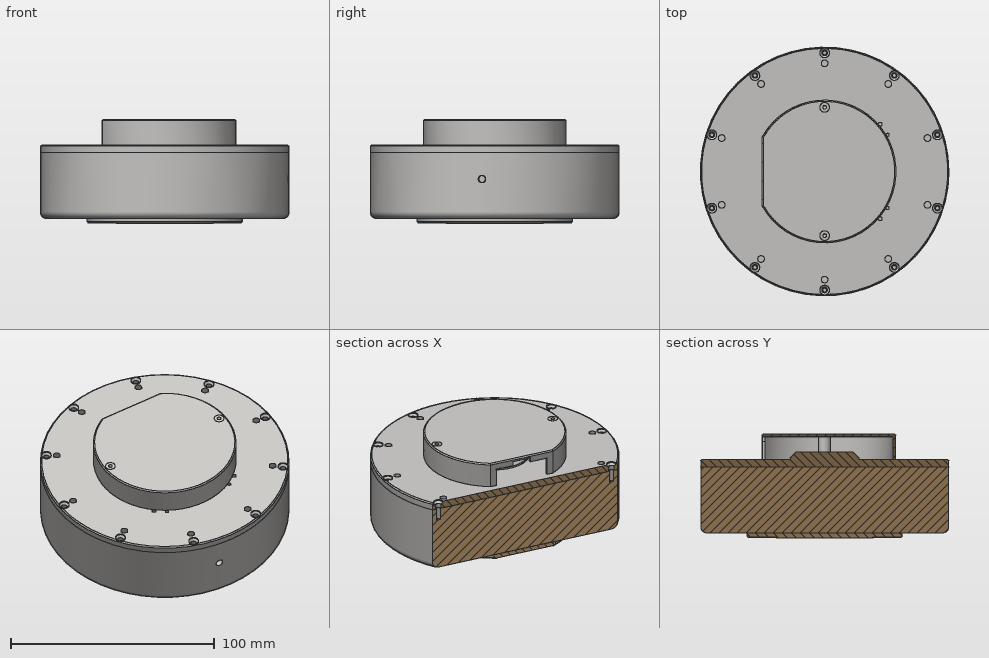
import cadquery as cq

TOTAL_HEIGHT = 51.1
HUB_FACE_HEIGHT = 0.4
HOUSING_BOTTOM = 2.5
PLATE_BOTTOM = 34.9
PLATE_TOP = 38.5
PLATE_THICKNESS = PLATE_TOP - PLATE_BOTTOM
CAP_HEIGHT = TOTAL_HEIGHT - PLATE_TOP

BODY_RADIUS = 61.0
HOUSING_FILLET = 3.0
SIDE_HOLE_DIAMETER = 3.5
SIDE_HOLE_HEIGHT = 21.8
SIDE_HOLE_DEPTH = 3.7
SIDE_HOLE_ANGLE = -6.0

PLATE_CHAMFER = 0.6
HOLES_PER_CIRCLE = 10
FIRST_HOLE_ANGLE = 90.0
SCREW_CIRCLE_RADIUS = 58.2
SCREW_SEAT_DIAMETER = 4.8
SCREW_SEAT_RECESS = 0.5
CLEARANCE_DIAMETER = 2.7
TAPPED_DIAMETER = 2.0
TAPPED_DEPTH = 6.1
PLAIN_CIRCLE_RADIUS = 53.1
PLAIN_HOLE_DIAMETER = 3.3

SMALL_CIRCLE_RADIUS = 35.7
SMALL_HOLES = [(30.2, 1.6), (40.4, 2.0)]

BOSS_RADIUS = 17.0
BOSS_HEIGHT = 3.8
BOSS_CHAMFER = 2.9

CAP_RADIUS = 35.0
CAP_FLAT_X = -30.6
CAP_WALL = 1.5
CAP_CHAMFER = 0.6
WINDOW_WIDTH = 27.6
WINDOW_HEIGHT = 8.9
NOTCH_WIDTH = 9.3

SCREW_SIDES = (1, -1)
CAP_SCREW_RADIUS = 31.5
CAP_SCREW_HEAD_DIAMETER = 4.8
CAP_SCREW_SHANK_DIAMETER = 2.7
CAP_SCREW_SOCKET_DIAMETER = 1.8
CAP_COLUMN_DIAMETER = 6.0
CAP_SCREW_ENGAGEMENT = 2.5

ROTOR_RADIUS = 38.2
ROTOR_CHAMFER = 0.6
HUB_RADIUS = 23.7


def cylinder(radius, bottom, top):
    return cq.Workplane("XY").workplane(offset=bottom).circle(radius).extrude(top - bottom)


def cone(bottom_radius, top_radius, bottom, top):
    height = top - bottom
    solid = cq.Solid.makeCone(bottom_radius, top_radius, height, pnt=cq.Vector(0, 0, bottom))
    return cq.Workplane(obj=solid)


def bolt_circle(workplane, radius):
    return workplane.polarArray(radius, FIRST_HOLE_ANGLE, 360, HOLES_PER_CIRCLE)


def make_housing():
    housing = cylinder(BODY_RADIUS, HOUSING_BOTTOM, PLATE_BOTTOM)
    housing = housing.faces("<Z").edges().fillet(HOUSING_FILLET)
    top_plane = cq.Workplane("XY", origin=(0, 0, PLATE_BOTTOM))
    tapped_holes = bolt_circle(top_plane, SCREW_CIRCLE_RADIUS).circle(TAPPED_DIAMETER / 2)
    housing = housing.cut(tapped_holes.extrude(-TAPPED_DEPTH))
    return housing.cut(side_hole())


def side_hole():
    """Blind radial hole in the outer wall, turned from the +X direction about the main axis."""
    hole = (
        cq.Workplane("YZ", origin=(BODY_RADIUS - SIDE_HOLE_DEPTH, 0, SIDE_HOLE_HEIGHT))
        .circle(SIDE_HOLE_DIAMETER / 2)
        .extrude(SIDE_HOLE_DEPTH)
    )
    return hole.rotate((0, 0, 0), (0, 0, 1), SIDE_HOLE_ANGLE)


def screw_seats():
    """Recessed countersunk clearance holes of the plate, as solids to cut away."""
    seat_radius = SCREW_SEAT_DIAMETER / 2
    clearance_radius = CLEARANCE_DIAMETER / 2
    recess_floor = PLATE_TOP - SCREW_SEAT_RECESS
    cone_bottom = recess_floor - (seat_radius - clearance_radius)
    seat = cylinder(clearance_radius, PLATE_BOTTOM, PLATE_TOP)
    seat = seat.union(cone(clearance_radius, seat_radius, cone_bottom, recess_floor))
    seat = seat.union(cylinder(seat_radius, recess_floor, PLATE_TOP)).translate((SCREW_CIRCLE_RADIUS, 0, 0))
    pitch_angle = 360 / HOLES_PER_CIRCLE
    return [
        seat.rotate((0, 0, 0), (0, 0, 1), FIRST_HOLE_ANGLE + index * pitch_angle)
        for index in range(HOLES_PER_CIRCLE)
    ]


def make_plate():
    plate = cylinder(BODY_RADIUS, PLATE_BOTTOM, PLATE_TOP).faces(">Z").edges().chamfer(PLATE_CHAMFER)
    top_plane = cq.Workplane("XY", origin=(0, 0, PLATE_TOP))
    plain_holes = bolt_circle(top_plane, PLAIN_CIRCLE_RADIUS).circle(PLAIN_HOLE_DIAMETER / 2)
    plate = plate.cut(plain_holes.extrude(-PLATE_THICKNESS))
    for angle, diameter in SMALL_HOLES:
        for signed_angle in (angle, -angle):
            hole = top_plane.polarArray(SMALL_CIRCLE_RADIUS, signed_angle, 360, 1).circle(diameter / 2)
            plate = plate.cut(hole.extrude(-PLATE_THICKNESS))
    for seat in screw_seats():
        plate = plate.cut(seat)

    boss = cylinder(BOSS_RADIUS, PLATE_TOP, PLATE_TOP + BOSS_HEIGHT)
    boss = boss.faces(">Z").edges().chamfer(BOSS_CHAMFER)
    plate = plate.union(boss)
    for side in SCREW_SIDES:
        plate = plate.cut(screw_blank(side))
    return plate


def cap_block(radius, flat_x, height):
    """Round block standing on the plate, cut off by a flat on its -X side."""
    block = cylinder(radius, PLATE_TOP, PLATE_TOP + height)
    keep = cq.Workplane("XY").box(2 * radius, 2 * radius, height, centered=(False, True, False))
    return block.intersect(keep.translate((flat_x, 0, PLATE_TOP)))


def make_cap():
    cap = cap_block(CAP_RADIUS, CAP_FLAT_X, CAP_HEIGHT).faces(">Z").edges().chamfer(CAP_CHAMFER)
    cavity_height = CAP_HEIGHT - CAP_WALL
    cap = cap.cut(cap_block(CAP_RADIUS - CAP_WALL, CAP_FLAT_X + CAP_WALL, cavity_height))

    for width, height in ((WINDOW_WIDTH, WINDOW_HEIGHT), (NOTCH_WIDTH, cavity_height)):
        opening = cq.Workplane("XY").box(2 * CAP_WALL, width, height, centered=(True, True, False))
        cap = cap.cut(opening.translate((CAP_FLAT_X, 0, PLATE_TOP)))

    for side in SCREW_SIDES:
        column = cylinder(CAP_COLUMN_DIAMETER / 2, PLATE_TOP, PLATE_TOP + cavity_height)
        cap = cap.union(column.translate((0, side * CAP_SCREW_RADIUS, 0))).cut(screw_blank(side))
    return cap


def screw_blank(side):
    """Countersunk screw without its socket, its head flush with the cap top."""
    head_radius = CAP_SCREW_HEAD_DIAMETER / 2
    shank_radius = CAP_SCREW_SHANK_DIAMETER / 2
    head_bottom = TOTAL_HEIGHT - (head_radius - shank_radius)
    blank = cylinder(shank_radius, PLATE_TOP - CAP_SCREW_ENGAGEMENT, head_bottom)
    blank = blank.union(cone(shank_radius, head_radius, head_bottom, TOTAL_HEIGHT))
    return blank.translate((0, side * CAP_SCREW_RADIUS, 0))


def make_cap_screw(side):
    """Cap screw with a conical driver socket in its head."""
    radius = CAP_SCREW_SOCKET_DIAMETER / 2
    socket = cone(0, radius, TOTAL_HEIGHT - radius, TOTAL_HEIGHT)
    return screw_blank(side).cut(socket.translate((0, side * CAP_SCREW_RADIUS, 0)))


def make_rotor():
    flange = cylinder(ROTOR_RADIUS, HUB_FACE_HEIGHT, HOUSING_BOTTOM)
    flange = flange.faces("<Z").edges().chamfer(ROTOR_CHAMFER)
    return flange.union(cylinder(HUB_RADIUS, 0, HUB_FACE_HEIGHT))


housing = make_housing()
plate = make_plate()
cap = make_cap()
cap_screws = [make_cap_screw(side) for side in SCREW_SIDES]
rotor = make_rotor()

result = cq.Compound.makeCompound(
    [housing.val(), plate.val(), cap.val(), rotor.val(), *[screw.val() for screw in cap_screws]]
)